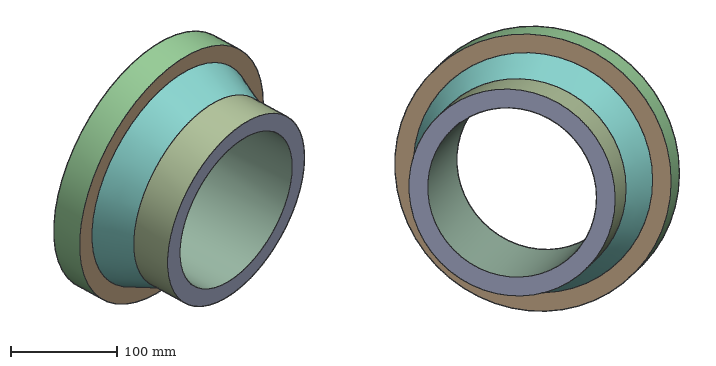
import cadquery as cq

total_length = 111.2
flange_thickness = 32.0
cone_length = 37.8
flange_diameter = 268.0
cone_base_diameter = 232.0
neck_diameter = 200.0
bore_diameter = 163.5

neck_start = flange_thickness + cone_length

half_section = [
    (0, bore_diameter / 2),
    (0, flange_diameter / 2),
    (flange_thickness, flange_diameter / 2),
    (flange_thickness, cone_base_diameter / 2),
    (neck_start, neck_diameter / 2),
    (total_length, neck_diameter / 2),
    (total_length, bore_diameter / 2),
]

result = cq.Workplane("XY").polyline(half_section).close().revolve(360, (0, 0, 0), (1, 0, 0))